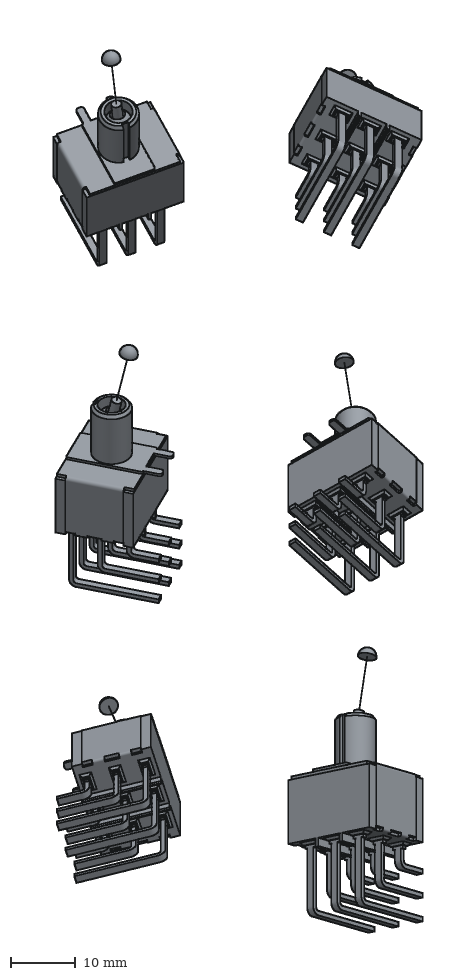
import cadquery as cq


HOUSING_LENGTH_X = 12.7
HOUSING_WIDTH_Y = 16.55
BASE_BOTTOM = 11.52
BASE_TOP = 21.65
COVER_TOP = 22.2
COVER_SETBACK = 0.05
POST_SETBACK = 0.05
COVER_BEND_RADIUS = 0.6
END_PLATE_LENGTH_X = 9.5
END_PLATE_BOTTOM = 12.05
END_PLATE_THICKNESS = 0.65

TAB_WIDTH_X = 2.0
TAB_OFFSET_X = 2.15
TAB_BEND = 0.4

RIB_THICKNESS_Y = 0.5
RIB_BOTTOM = 10.0
RIB_CHAMFER = 0.2

PLATE_LENGTH_X = 12.5
PLATE_WIDTH_Y = 6.9
PLATE_THICKNESS = 0.45
PLATE_CORNER_RADIUS = 0.3
LUG_WIDTH_Y = 1.3
LUG_OFFSET_Y = 2.5
LUG_TIP_X = -9.25
LUG_TIP_RADIUS = 0.5

BUSHING_DIAMETER = 6.35
BUSHING_TOP = 31.6
BUSHING_BORE = 4.35
BUSHING_CHAMFER_HEIGHT = 0.55
BUSHING_CHAMFER_WIDTH = 0.45
KEYWAY_WIDTH_Y = 1.05
KEYWAY_FLOOR_X = 2.45

PIVOT_Z = 28.7
LEVER_TILT = 12.0
STUB_DIAMETER = 1.65
STUB_LENGTH = 3.95
SOCKET_DIAMETER = 2.4
SOCKET_FLOOR = -0.2
CAP_RADIUS = 1.45
CAP_DISTANCE = 13.3
CORE_DIAMETER = 0.02

PIN_PITCH_X = 4.7
PIN_PITCH_Y = 4.88
PIN_THICKNESS = 0.75
PIN_WIDTH_Y = 1.25
PIN_TIP_X = -9.55
PIN_LEVEL_STEP = 3.8
PIN_INNER_BEND = 0.5
SHOULDER_WIDTH_Y = 2.0
SHOULDER_BOTTOM = 10.6
SEAL_LENGTH_X = 1.9
SEAL_WIDTH_Y = 3.15
SEAL_HEIGHT = 0.45
SEAL_TAPER = 40.0


def block(x_size, y_size, z_low, z_high, x=0, y=0):
    """Box centred on (x, y) between two heights."""
    return (
        cq.Workplane("XY", origin=(x, y, z_low))
        .rect(x_size, y_size)
        .extrude(z_high - z_low)
    )


def make_housing():
    recess_width = HOUSING_WIDTH_Y - 2 * END_PLATE_THICKNESS
    base = block(HOUSING_LENGTH_X, recess_width, BASE_BOTTOM, BASE_TOP)

    post_width = HOUSING_WIDTH_Y - 2 * POST_SETBACK
    posts = (
        block(HOUSING_LENGTH_X, post_width, BASE_BOTTOM, BASE_TOP)
        .cut(block(END_PLATE_LENGTH_X, HOUSING_WIDTH_Y, BASE_BOTTOM, BASE_TOP))
    )

    cover_length = HOUSING_LENGTH_X - 2 * COVER_SETBACK
    cover = block(cover_length, recess_width, BASE_TOP, COVER_TOP)
    end_plates = (
        block(END_PLATE_LENGTH_X, HOUSING_WIDTH_Y, END_PLATE_BOTTOM, COVER_TOP)
        .edges("|X and >Z")
        .fillet(COVER_BEND_RADIUS)
    )
    return base.union(posts).union(cover).union(end_plates)


def make_tabs():
    """Locking tabs bent inward from the lower edge of both end plates."""
    tabs = (
        block(TAB_WIDTH_X, HOUSING_WIDTH_Y, BASE_BOTTOM, END_PLATE_BOTTOM)
        .edges("|X and <Z")
        .fillet(TAB_BEND)
    )
    return tabs.translate((-TAB_OFFSET_X, 0, 0)).union(tabs.translate((TAB_OFFSET_X, 0, 0)))


def make_rib(y):
    return (
        block(HOUSING_LENGTH_X, RIB_THICKNESS_Y, RIB_BOTTOM, BASE_BOTTOM, y=y)
        .edges("|X and <Z")
        .chamfer(RIB_CHAMFER)
    )


def make_plate():
    plate_top = COVER_TOP + PLATE_THICKNESS
    plate = (
        block(PLATE_LENGTH_X, PLATE_WIDTH_Y, COVER_TOP, plate_top)
        .edges("|Z")
        .fillet(PLATE_CORNER_RADIUS)
    )
    for side in (-1, 1):
        lug = (
            block(-LUG_TIP_X, LUG_WIDTH_Y, COVER_TOP, plate_top, LUG_TIP_X / 2, side * LUG_OFFSET_Y)
            .edges("|Z and <X")
            .fillet(LUG_TIP_RADIUS)
        )
        plate = plate.union(lug)
    return plate


def make_bushing():
    radius = BUSHING_DIAMETER / 2
    plate_top = COVER_TOP + PLATE_THICKNESS
    profile = (
        cq.Workplane("XZ")
        .moveTo(BUSHING_BORE / 2, COVER_TOP)
        .lineTo(radius, COVER_TOP)
        .lineTo(radius, BUSHING_TOP - BUSHING_CHAMFER_HEIGHT)
        .lineTo(radius - BUSHING_CHAMFER_WIDTH, BUSHING_TOP)
        .lineTo(BUSHING_BORE / 2, BUSHING_TOP)
        .close()
    )
    bushing = profile.revolve(360, (0, 0, 0), (0, 1, 0))
    keyway = block(
        radius, KEYWAY_WIDTH_Y, plate_top, BUSHING_TOP, KEYWAY_FLOOR_X + radius / 2
    )
    return bushing.cut(keyway)


def make_lever():
    """Lever built around the origin with its axis upright, then tilted about the pivot."""
    ball_radius = BUSHING_BORE / 2
    socket = (
        cq.Workplane("XY", origin=(0, 0, SOCKET_FLOOR))
        .circle(SOCKET_DIAMETER / 2)
        .extrude(ball_radius - SOCKET_FLOOR)
    )
    ball = cq.Workplane("XY").sphere(ball_radius).cut(socket)

    stub = (
        cq.Workplane("XY", origin=(0, 0, SOCKET_FLOOR))
        .circle(STUB_DIAMETER / 2)
        .extrude(STUB_LENGTH - SOCKET_FLOOR)
    )
    cap = (
        cq.Workplane("XZ", origin=(0, 0, CAP_DISTANCE))
        .moveTo(0, 0)
        .lineTo(CAP_RADIUS, 0)
        .radiusArc((0, CAP_RADIUS), -CAP_RADIUS)
        .close()
        .revolve(360, (0, 0, 0), (0, 1, 0))
    )
    core_length = CAP_DISTANCE + CAP_RADIUS / 2
    core = cq.Workplane("XY").circle(CORE_DIAMETER / 2).extrude(core_length)
    return (
        ball.union(stub)
        .union(core)
        .union(cap)
        .rotate((0, 0, 0), (0, 1, 0), -LEVER_TILT)
        .translate((0, 0, PIVOT_Z))
    )


def make_ball_seat():
    """Solid core of the bushing under the ball, hollowed to the lower half of the ball."""
    seat_radius = BUSHING_BORE / 2
    seat = (
        cq.Workplane("XY", origin=(0, 0, COVER_TOP))
        .circle(seat_radius)
        .extrude(PIVOT_Z - COVER_TOP)
    )
    return seat.cut(cq.Workplane("XY", origin=(0, 0, PIVOT_Z)).sphere(seat_radius))


def make_terminal(column, row):
    """Right-angle pin; columns count from -X, and each further column reaches one level lower."""
    x = (column - 1) * PIN_PITCH_X
    y = (row - 1) * PIN_PITCH_Y
    half = PIN_THICKNESS / 2
    leg_z = half + (2 - column) * PIN_LEVEL_STEP
    bend_radius = PIN_INNER_BEND + half

    path = (
        cq.Workplane("XZ", origin=(0, y, 0))
        .moveTo(x, BASE_BOTTOM)
        .lineTo(x, leg_z + bend_radius)
        .radiusArc((x - bend_radius, leg_z), bend_radius)
        .lineTo(PIN_TIP_X, leg_z)
    )
    pin = cq.Workplane("XY", origin=(x, y, BASE_BOTTOM)).rect(PIN_THICKNESS, PIN_WIDTH_Y).sweep(path)
    shoulder = block(PIN_THICKNESS, SHOULDER_WIDTH_Y, SHOULDER_BOTTOM, BASE_BOTTOM, x, y)
    seal = (
        cq.Workplane("XY", origin=(x, y, BASE_BOTTOM))
        .rect(SEAL_LENGTH_X, SEAL_WIDTH_Y)
        .extrude(-SEAL_HEIGHT, taper=SEAL_TAPER)
    )
    return pin.union(shoulder).union(seal)


result = make_housing().union(make_tabs()).union(make_plate())
result = result.union(make_bushing()).union(make_ball_seat()).union(make_lever())

for rib_side in (-1, 1):
    result = result.union(make_rib(rib_side * PIN_PITCH_Y / 2))

for pin_column in range(3):
    for pin_row in range(3):
        result = result.union(make_terminal(pin_column, pin_row))